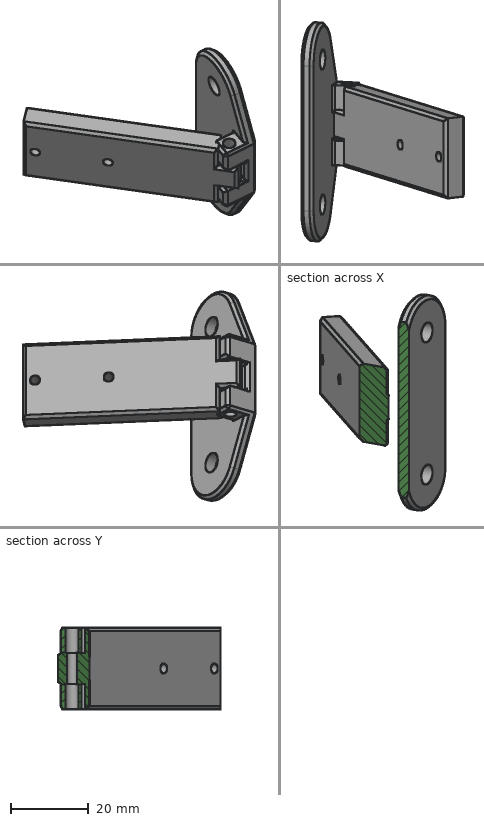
import cadquery as cq
import math


overall_height = 57.1
end_radius = 9.55
plate_center_x = -12.35
plate_front_y = 3.25
plate_back_y = 6.55
plate_thickness = plate_back_y - plate_front_y
plate_right_x = 2.9
right_edge_half_height = 9.6
screw_hole_z = overall_height / 2 - end_radius
screw_hole_diameter = 5.2

hinge_half_height = 10.5
slot_half_height = 4.05
knuckle_left_x = -2.5
knuckle_front_y = -3.15
knuckle_hole_diameter = 3.2
root_flare = 0.6

arm_angle = 46.8
arm_thickness = 6.3
arm_far_end = -53.45
arm_shoulder = -2.5
tongue_end = 2.8
tongue_half_height = 4.0
tongue_hole_diameter = 2.5
arm_hole_diameter = 2.5
arm_hole_positions = (-50.25, -31.2)

edge_chamfer = 0.85


def plate_outline(y):
    """Outline of the plate as a closed wire on the plane at y."""
    dx = plate_right_x - plate_center_x
    dz = right_edge_half_height - screw_hole_z
    tangent_angle = math.atan2(dz, dx) + math.acos(end_radius / math.hypot(dx, dz))
    tangent_x = plate_center_x + end_radius * math.cos(tangent_angle)
    tangent_z = screw_hole_z + end_radius * math.sin(tangent_angle)
    left_x = plate_center_x - end_radius
    top_z = screw_hole_z + end_radius
    return (
        cq.Workplane("XZ", origin=(0, y, 0))
        .moveTo(plate_right_x, -right_edge_half_height)
        .lineTo(plate_right_x, right_edge_half_height)
        .lineTo(tangent_x, tangent_z)
        .threePointArc((plate_center_x, top_z), (left_x, screw_hole_z))
        .lineTo(left_x, -screw_hole_z)
        .threePointArc((plate_center_x, -top_z), (tangent_x, -tangent_z))
        .close()
    )


def box_between(low, high):
    """Axis-aligned box between two opposite corners."""
    size = [b - a for a, b in zip(low, high)]
    return cq.Workplane("XY").box(*size, centered=False).translate(low)


def make_knuckle():
    """Upper knuckle, trimmed to the plate outline and flared at its root."""
    block = box_between(
        (knuckle_left_x, knuckle_front_y, slot_half_height),
        (plate_right_x, plate_back_y - edge_chamfer, hinge_half_height),
    )
    outline_prism = plate_outline(knuckle_front_y).extrude(knuckle_front_y - plate_back_y)
    block = block.intersect(outline_prism)
    block = block.faces("<Y").chamfer(edge_chamfer)

    flare = (
        cq.Workplane("XZ", origin=(0, plate_front_y - root_flare, 0))
        .moveTo(knuckle_left_x, slot_half_height)
        .lineTo(plate_right_x, slot_half_height)
        .lineTo(plate_right_x, hinge_half_height)
        .lineTo(knuckle_left_x, hinge_half_height)
        .close()
        .workplane(offset=-root_flare)
        .moveTo(knuckle_left_x - root_flare, slot_half_height - root_flare)
        .lineTo(plate_right_x, slot_half_height - root_flare)
        .lineTo(plate_right_x, hinge_half_height)
        .lineTo(knuckle_left_x - root_flare, hinge_half_height)
        .close()
        .loft(ruled=True)
    )
    return block.union(flare.intersect(outline_prism))


def make_bracket():
    """Mounting plate with its two knuckles."""
    bracket = plate_outline(plate_front_y).extrude(-plate_thickness)
    bracket = bracket.faces("<Y or >Y").chamfer(edge_chamfer)
    knuckle = make_knuckle()
    bracket = bracket.union(knuckle).union(knuckle.mirror("XY"))
    screw_holes = (
        cq.Workplane("XZ", origin=(0, plate_front_y, 0))
        .pushPoints([(plate_center_x, screw_hole_z), (plate_center_x, -screw_hole_z)])
        .circle(screw_hole_diameter / 2)
        .extrude(-plate_thickness)
    )
    hinge_hole = cq.Workplane("XY").circle(knuckle_hole_diameter / 2).extrude(hinge_half_height, both=True)
    return bracket.cut(screw_holes).cut(hinge_hole)


def arm_block(start, end, half_height):
    """Block along the arm with the borders of both broad faces chamfered."""
    block = box_between(
        (start, -arm_thickness / 2, -half_height),
        (end, arm_thickness / 2, half_height),
    )
    return block.faces("<Y or >Y").chamfer(edge_chamfer)


def make_arm(bracket):
    """Arm with a narrow hinge tongue, swung about the hinge axis and fitted to the bracket."""
    body = arm_block(arm_far_end, arm_shoulder, hinge_half_height)
    tongue_start = arm_shoulder - arm_thickness
    tongue = arm_block(tongue_start, tongue_end, tongue_half_height)
    arm = body.union(tongue)
    hinge_hole = cq.Workplane("XY").circle(tongue_hole_diameter / 2).extrude(tongue_half_height, both=True)
    cross_holes = (
        cq.Workplane("XZ")
        .pushPoints([(x, 0) for x in arm_hole_positions])
        .circle(arm_hole_diameter / 2)
        .extrude(arm_thickness / 2, both=True)
    )
    arm = arm.cut(hinge_hole).cut(cross_holes)
    arm = arm.rotate((0, 0, 0), (0, 0, 1), arm_angle)
    return arm.cut(bracket)


bracket = make_bracket()
arm = make_arm(bracket)

result = cq.Compound.makeCompound([bracket.solids().val(), arm.solids().val()])